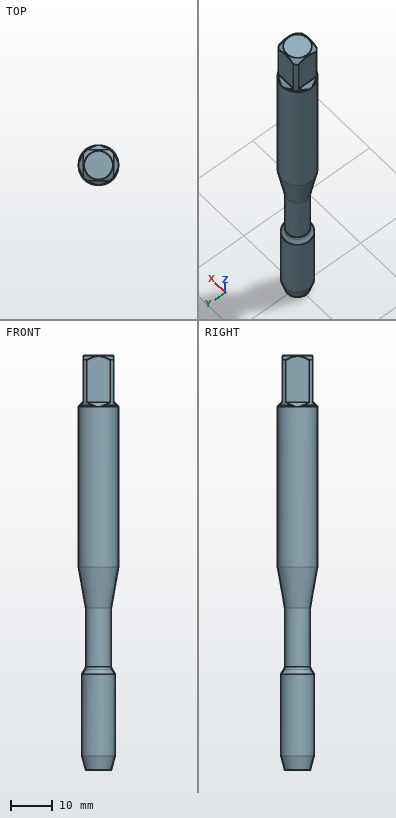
import cadquery as cq
import math


TOTAL_LENGTH = 100.1
LEAD_LENGTH = 3.5
THREAD_TOP = 23.1
CONE_TOP = 24.6
NECK_TOP = 39.1
TAPER_TOP = 49.0
SHANK_TOP = 87.7

TIP_DIAMETER = 6.2
THREAD_DIAMETER = 8.1
NECK_DIAMETER = 6.2
SHANK_DIAMETER = 9.7
DRIVE_DIAMETER = 9.3
DRIVE_TOP_DIAMETER = 6.9

NECK_FILLET_RADIUS = 1.1
CONE_WIDTH = (THREAD_DIAMETER - NECK_DIAMETER) / 2
CONE_ANGLE = math.atan2(CONE_WIDTH, CONE_TOP - THREAD_TOP)
FILLET_TANGENT = NECK_FILLET_RADIUS * math.tan(CONE_ANGLE / 2)
HEAD_TOP = CONE_TOP + FILLET_TANGENT

DRIVE_CHAMFER_HEIGHT = 1.1
SHOULDER_CHAMFER_HEIGHT = 0.35
ACROSS_FLATS = 7.4
CUTTER_WIDTH = 2 * SHANK_DIAMETER


def make_threaded_head():
    """Plain thread envelope with a tapered lead and a filleted conical upper end."""
    neck_radius = NECK_DIAMETER / 2
    fillet_start = (
        neck_radius + FILLET_TANGENT * math.sin(CONE_ANGLE),
        CONE_TOP - FILLET_TANGENT * math.cos(CONE_ANGLE),
    )
    return (
        cq.Workplane("XZ")
        .lineTo(TIP_DIAMETER / 2, 0)
        .lineTo(THREAD_DIAMETER / 2, LEAD_LENGTH)
        .lineTo(THREAD_DIAMETER / 2, THREAD_TOP)
        .lineTo(*fillet_start)
        .tangentArcPoint((neck_radius, HEAD_TOP), relative=False)
        .lineTo(0, HEAD_TOP)
        .close()
        .revolve(360, (0, 0), (0, 1))
    )


def make_flat_cutter():
    """Cutter for the +X drive flat; its underside slopes at 45 degrees down to the shoulder."""
    flat = ACROSS_FLATS / 2
    outside = SHANK_DIAMETER
    shank_radius = SHANK_DIAMETER / 2
    runout_height = shank_radius - flat
    return (
        cq.Workplane("XZ")
        .polyline([
            (flat, TOTAL_LENGTH),
            (flat, SHANK_TOP + runout_height),
            (shank_radius, SHANK_TOP),
            (outside, SHANK_TOP),
            (outside, TOTAL_LENGTH),
        ])
        .close()
        .extrude(CUTTER_WIDTH / 2, both=True)
    )


def make_shank():
    """Neck, taper and cylindrical shank, with four flats cut on the drive end."""
    shank = (
        cq.Workplane("XZ")
        .polyline([
            (0, HEAD_TOP),
            (NECK_DIAMETER / 2, HEAD_TOP),
            (NECK_DIAMETER / 2, NECK_TOP),
            (SHANK_DIAMETER / 2, TAPER_TOP),
            (SHANK_DIAMETER / 2, SHANK_TOP),
            (DRIVE_DIAMETER / 2, SHANK_TOP + SHOULDER_CHAMFER_HEIGHT),
            (DRIVE_DIAMETER / 2, TOTAL_LENGTH - DRIVE_CHAMFER_HEIGHT),
            (DRIVE_TOP_DIAMETER / 2, TOTAL_LENGTH),
            (0, TOTAL_LENGTH),
        ])
        .close()
        .revolve(360, (0, 0), (0, 1))
    )
    cutter = make_flat_cutter()
    for angle in (0, 90, 180, 270):
        shank = shank.cut(cutter.rotate((0, 0, 0), (0, 0, 1), angle))
    return shank


threaded_head = make_threaded_head()
shank = make_shank()

result = cq.Compound.makeCompound([threaded_head.val(), shank.val()])